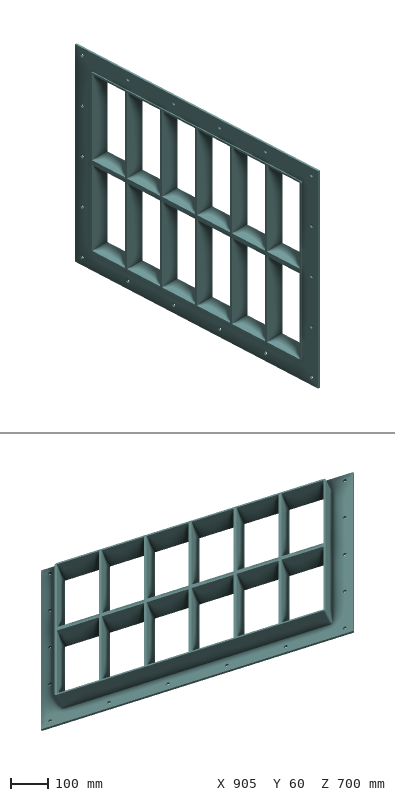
import cadquery as cq

plate_width = 905.0
plate_height = 700.0
plate_thickness = 6.0

sleeve_width = 785.5
sleeve_height = 580.0
sleeve_depth = 60.0
sleeve_wall = 6.0
sleeve_corner_radius = 6.0
sleeve_front_lip = 3.0

column_count = 6
upright_thickness = 8.0
crossbar_thickness = 15.0

hole_diameter = 11.0
hole_edge_distance = 25.0
holes_along_width = 6
holes_along_height = 5


def block(width, depth, height, front_y=0.0):
    """Box centred on X and Z, running toward +Y from front_y."""
    return cq.Workplane("XY").box(width, depth, height).translate((0, front_y + depth / 2, 0))


def bolt_hole_centers():
    """Evenly spaced (x, z) points on a rectangle, each corner included once."""
    half_x = plate_width / 2 - hole_edge_distance
    half_z = plate_height / 2 - hole_edge_distance
    pitch_x = 2 * half_x / (holes_along_width - 1)
    pitch_z = 2 * half_z / (holes_along_height - 1)
    centers = []
    for i in range(holes_along_width):
        x = -half_x + i * pitch_x
        centers += [(x, -half_z), (x, half_z)]
    for i in range(1, holes_along_height - 1):
        z = -half_z + i * pitch_z
        centers += [(-half_x, z), (half_x, z)]
    return centers


plate = block(plate_width, plate_thickness, plate_height, sleeve_front_lip)
bolt_holes = (
    cq.Workplane("XZ")
    .pushPoints(bolt_hole_centers())
    .circle(hole_diameter / 2)
    .extrude(-sleeve_depth)
)
plate = plate.cut(bolt_holes)

sleeve = block(sleeve_width, sleeve_depth, sleeve_height).edges("|Y").fillet(sleeve_corner_radius)
opening_width = sleeve_width - 2 * sleeve_wall
opening_height = sleeve_height - 2 * sleeve_wall
opening = block(opening_width, sleeve_depth, opening_height)

column_pitch = (opening_width + upright_thickness) / column_count
grid = block(opening_width, sleeve_depth, crossbar_thickness)
for i in range(1, column_count):
    upright_x = (i - column_count / 2) * column_pitch
    upright = block(upright_thickness, sleeve_depth, opening_height)
    grid = grid.union(upright.translate((upright_x, 0, 0)))

result = plate.union(sleeve).cut(opening).union(grid)